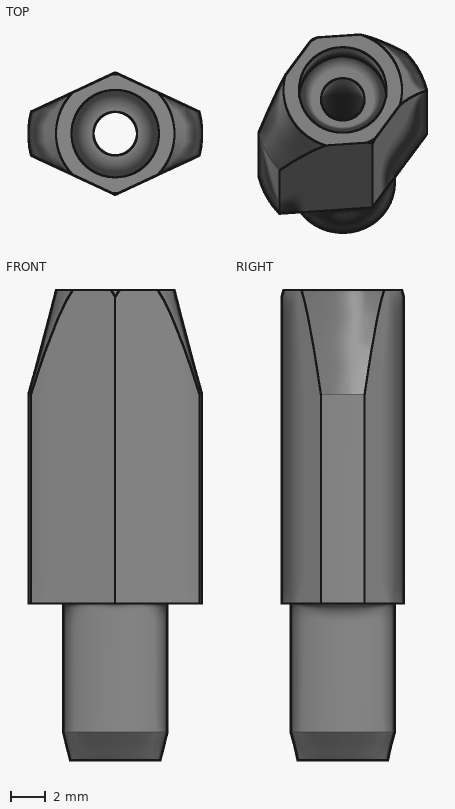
import cadquery as cq
import math

total_height = 27.0
stem_height = 9.0
body_height = total_height - stem_height

body_radius = 5.0
body_depth = 7.02
flat_angle = 25.0
nose_height = 6.0
nose_radius = 3.4

stem_radius = 3.0
tip_height = 1.62
tip_radius = 2.6

bore_radius = 1.25
socket_radius = 2.5
socket_depth = 2.6


def make_turned_blank():
    """Revolve the stem, the round body and the conical nose about Z."""
    profile = [
        (0, 0),
        (tip_radius, 0),
        (stem_radius, tip_height),
        (stem_radius, stem_height),
        (body_radius, stem_height),
        (body_radius, total_height - nose_height),
        (nose_radius, total_height),
        (0, total_height),
    ]
    return cq.Workplane("XZ").polyline(profile).close().revolve(360, (0, 0), (0, 1))


def make_flats_envelope():
    """Rhombic prism whose sides are the body flats; the stem fits inside it."""
    half_depth = body_depth / 2
    half_width = half_depth / math.tan(math.radians(flat_angle))
    corners = [(half_width, 0), (0, half_depth), (-half_width, 0), (0, -half_depth)]
    return cq.Workplane("XY").polyline(corners).close().extrude(total_height)


def make_bore():
    """Through hole with a wider flat-bottomed socket at the top."""
    hole = cq.Workplane("XY").circle(bore_radius).extrude(total_height)
    socket_floor = total_height - socket_depth
    socket = cq.Workplane("XY").workplane(offset=socket_floor).circle(socket_radius).extrude(socket_depth)
    return hole.union(socket)


result = make_turned_blank().intersect(make_flats_envelope()).cut(make_bore())